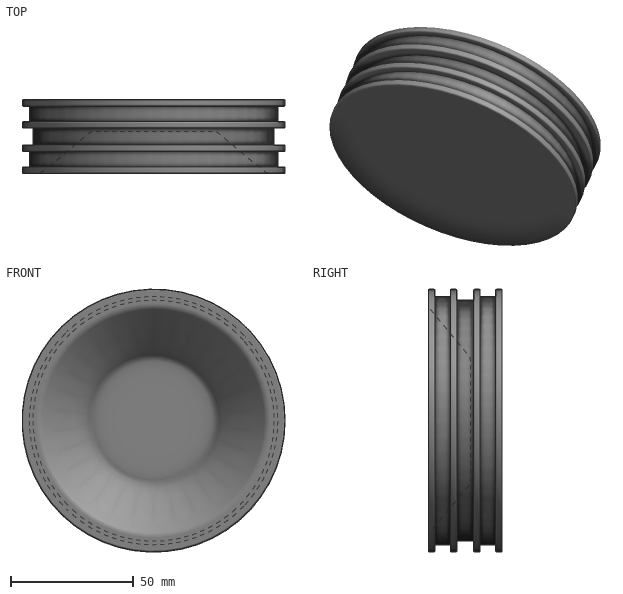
import cadquery as cq

outer_diameter = 107.5
width = 30.2

land_width = 2.7
center_groove_width = 6.9
side_groove_diameter = 101.6
center_groove_diameter = 98.6
land_edge_radius = 0.6

recess_mouth_diameter = 93.0
recess_floor_diameter = 51.5
recess_depth = 17.2
mouth_edge_radius = 3.2
floor_edge_radius = 3.2

half_width = width / 2
side_groove_width = (width - 4 * land_width - center_groove_width) / 2
side_groove_offset = half_width - land_width - side_groove_width / 2


def disc(diameter, length, center_y):
    """Solid cylinder along Y, centred at center_y."""
    return (
        cq.Workplane("XZ", origin=(0, center_y + length / 2, 0))
        .circle(diameter / 2)
        .extrude(length)
    )


def land(center_y):
    """Full-diameter disc with rounded rims."""
    return disc(outer_diameter, land_width, center_y).edges().fillet(land_edge_radius)


def conical_recess():
    """Tapered cutter with a rounded floor edge, opening toward -Y."""
    cone = cq.Solid.makeCone(
        recess_mouth_diameter / 2,
        recess_floor_diameter / 2,
        recess_depth,
        cq.Vector(0, -half_width, 0),
        cq.Vector(0, 1, 0),
    )
    return cq.Workplane(cone).faces(">Y").edges().fillet(floor_edge_radius)


body = disc(center_groove_diameter, center_groove_width, 0)
inner_land_offset = (center_groove_width + land_width) / 2
outer_land_offset = half_width - land_width / 2
for side in (-1, 1):
    body = body.union(land(side * inner_land_offset))
    body = body.union(disc(side_groove_diameter, side_groove_width, side * side_groove_offset))
    body = body.union(land(side * outer_land_offset))

body = body.cut(conical_recess())

mouth_edge = cq.selectors.RadiusNthSelector(0)
result = body.faces("<Y").edges(mouth_edge).fillet(mouth_edge_radius)